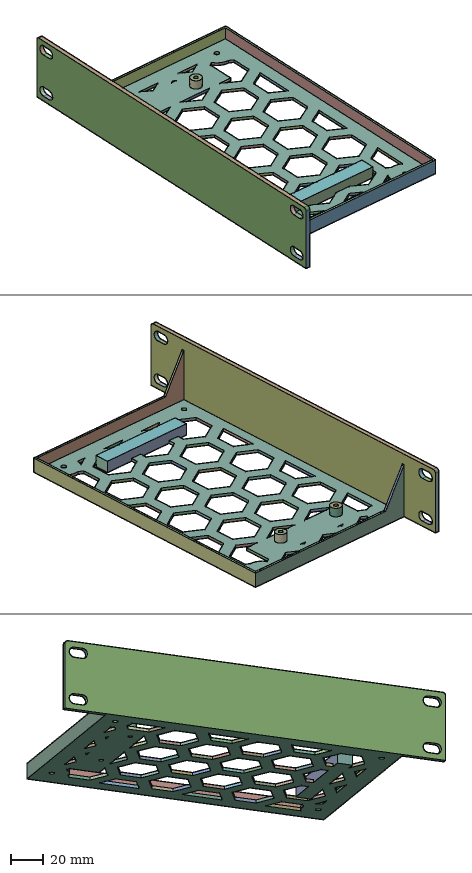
import cadquery as cq
import math

panel_width = 254.0
panel_height = 44.5
panel_thickness = 3.0
panel_corner_radius = 2.0
slot_length = 12.0
slot_height = 6.5
slot_spacing_x = 236.2
slot_spacing_z = 30.5

overall_depth = 130.0
tray_width = 198.0
floor_thickness = 2.0
wall_thickness = 1.5
wall_height = 10.2
gusset_length = 15.7
gusset_top = 37.0

hex_diameter = 28.0
hex_pitch = 32.0
hex_columns = 8
hex_rows = 4
window_width = 175.0
window_depth = 109.7

screw_hole_diameter = 3.3
screw_hole_x = 89.0
screw_hole_front_y = -53.8
screw_hole_back_y = 49.0
screw_disc_radius = 11.0

pad_left = -82.0
pad_right = -62.2
pad_front = -40.6
pad_back = 37.3
standoff_diameter = 8.0
standoff_bore = 2.8
standoff_height = 6.0
standoff_x = -69.8
standoff_front_y = -31.8
standoff_back_y = 15.5

bar_width = 10.2
bar_length = 67.5
bar_height = floor_thickness + standoff_height
bar_x = 72.1
bar_y = -1.3

panel_front_y = -overall_depth / 2
panel_back_y = panel_front_y + panel_thickness
tray_back_y = overall_depth / 2
tray_depth = tray_back_y - panel_back_y
tray_middle_y = (tray_back_y + panel_back_y) / 2

screw_points = [
    (x, y)
    for x in (-screw_hole_x, screw_hole_x)
    for y in (screw_hole_front_y, screw_hole_back_y)
]
standoff_points = [(standoff_x, standoff_front_y), (standoff_x, standoff_back_y)]


def block(width, depth, height, x, y, z=0.0):
    """Box centred on (x, y) with its underside at z."""
    return cq.Workplane("XY", origin=(x, y, z)).box(width, depth, height, centered=(True, True, False))


def discs(points, diameter, height, z=0.0):
    """Upright cylinders at the given points, starting at z."""
    return cq.Workplane("XY", origin=(0, 0, z)).pushPoints(points).circle(diameter / 2).extrude(height)


def make_panel():
    panel = block(panel_width, panel_thickness, panel_height, 0, panel_front_y + panel_thickness / 2)
    panel = panel.edges("|Y and >Z").fillet(panel_corner_radius)
    slots = (
        cq.Workplane("XZ", origin=(0, panel_back_y, panel_height / 2))
        .rarray(slot_spacing_x, slot_spacing_z, 2, 2)
        .slot2D(slot_length, slot_height)
        .extrude(panel_thickness)
    )
    return panel.cut(slots)


def make_side_wall(outer_x):
    """Side wall that rises in a sloping gusset to meet the panel."""
    return (
        cq.Workplane("YZ", origin=(outer_x, 0, 0))
        .moveTo(panel_back_y, 0)
        .lineTo(tray_back_y, 0)
        .lineTo(tray_back_y, wall_height)
        .lineTo(panel_back_y + gusset_length, wall_height)
        .lineTo(panel_back_y, gusset_top)
        .close()
        .extrude(wall_thickness)
    )


def make_hex_openings():
    """Staggered hexagons trimmed to the window, clear of the screw discs and the pad."""
    column_step = hex_pitch * math.sqrt(3) / 2
    centres = []
    for column in range(hex_columns):
        x = (column - (hex_columns - 1) / 2) * column_step
        stagger = hex_pitch / 4 if column % 2 == 0 else -hex_pitch / 4
        for row in range(hex_rows):
            y = (row - (hex_rows - 1) / 2) * hex_pitch + stagger
            centres.append((x, y))
    hexagons = cq.Workplane("XY").pushPoints(centres).polygon(6, hex_diameter).extrude(floor_thickness)
    window = block(window_width, window_depth, floor_thickness, 0, 0)
    pad = block(
        pad_right - pad_left,
        pad_back - pad_front,
        floor_thickness,
        (pad_left + pad_right) / 2,
        (pad_front + pad_back) / 2,
    )
    screw_discs = discs(screw_points, 2 * screw_disc_radius, floor_thickness)
    return hexagons.intersect(window).cut(pad).cut(screw_discs)


def make_floor():
    floor = block(tray_width, tray_depth, floor_thickness, 0, tray_middle_y)
    screw_holes = discs(screw_points, screw_hole_diameter, floor_thickness)
    return floor.cut(make_hex_openings()).cut(screw_holes)


back_wall = block(tray_width, wall_thickness, wall_height, 0, tray_back_y - wall_thickness / 2)
left_wall = make_side_wall(-tray_width / 2)
right_wall = make_side_wall(tray_width / 2 - wall_thickness)
bar = block(bar_width, bar_length, bar_height, bar_x, bar_y)
standoffs = discs(standoff_points, standoff_diameter, standoff_height, floor_thickness)
standoff_bores = discs(standoff_points, standoff_bore, floor_thickness + standoff_height)

result = make_floor()
for piece in (make_panel(), back_wall, left_wall, right_wall, bar, standoffs):
    result = result.union(piece)
result = result.cut(standoff_bores)